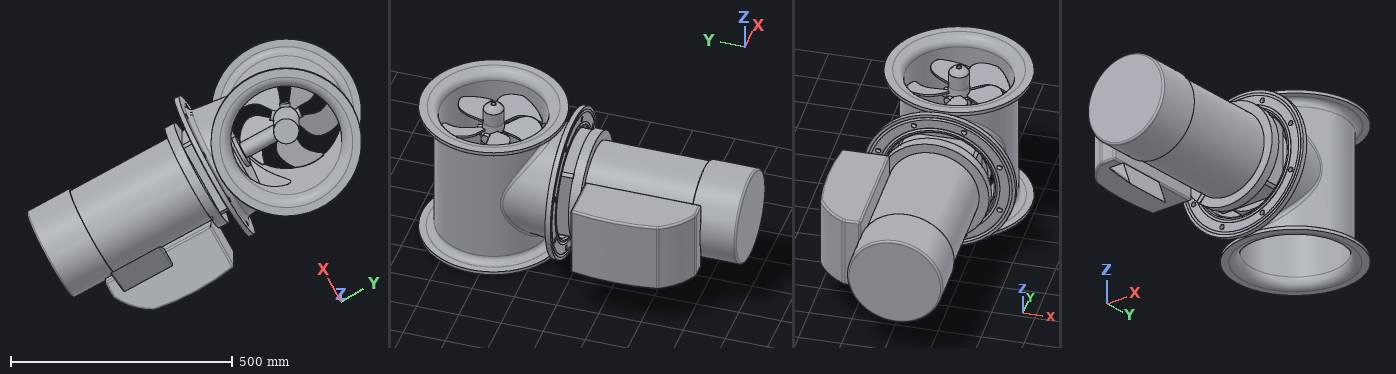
import cadquery as cq
import math


TUNNEL_OD = 270.0
TUNNEL_ID = 250.0
TUNNEL_HEIGHT = 351.0
END_FLANGE_OD = 339.5
END_FLANGE_THICKNESS = 8.5
OUTER_FLARE = 17.0
INNER_FLARE = 25.0

BRANCH_FLANGE_OD = 356.0
BRANCH_FLANGE_BACK = 178.0
BRANCH_FLANGE_FACE = 191.0
BRANCH_SLOPE = 0.13
BRANCH_FACE_RADIUS = 139.0
BORE_RADIUS = 128.0
BORE_CHAMFER = 4.0
BORE_STRAIGHT_END = 156.0
BRANCH_FLARE = 14.0
BRANCH_BLEND = 9.0
BRANCH_ROOT = 31.0
BOLT_COUNT = 8
BOLT_DIAMETER = 12.0
BOLT_CIRCLE_RADIUS = 153.0
SEAL_GROOVE_RADII = (138.5, 167.5)
SEAL_GROOVE_SECTION_RADIUS = 3.0

MOTOR_AXIS_Z = 4.3
MOUNT_WIDTH = 182.0
MOUNT_CORNER = 7.0
MOUNT_INNER_END = BORE_STRAIGHT_END
SPIGOT_DIAMETER = 212.0
SPIGOT_END = 120.0
MOTOR_FLANGE_OD = 258.0
MOTOR_FLANGE_BACK = 218.0
MOTOR_FLANGE_FACE = 242.0
DRAIN_GROOVE_DIAMETER = 11.0
DRAIN_GROOVE_ANGLE = 228
MOTOR_OD = 212.0
CAP_OD = 222.0
CAP_START = 498.0
CAP_EDGE = 5.0
OVERALL_LENGTH = 779.0
MOTOR_END = OVERALL_LENGTH - END_FLANGE_OD / 2

BOX_HEIGHT = 177.5
BOX_INNER_X = -100.5
BOX_BACK_Y = -250.0
BOX_FRONT_Y = -524.0
BOX_BULGE = (-220.0, -353.5)
BOX_SHOULDER = (-211.0, -455.5)
BOX_FOOT_X = -140.0
BOX_CORNER_MID = (-182.0, -494.5)
BOX_CORNER = 17.0
BOX_EDGE = 5.0

DUCT_START = 368.0
DUCT_END = 496.0
DUCT_TIP = (-78.0, -142.5)
DUCT_INNER_X = -97.0
DUCT_OUTER_X = -140.0
DUCT_EDGE = 3.0

LEG_FLANGE_DIAMETER = 73.0
LEG_FLANGE_END = 110.5
LEG_DIAMETER = 37.0
POD_DIAMETER = 58.0
POD_BOTTOM = -47.0

HUB_BOTTOM = 93.5
HUB_TOP = 134.0
NOSE_DIAMETER = 47.0
NOSE_TOP = 184.0
NOSE_SHOULDER = 169.0
NOSE_HOLE_DIAMETER = 11.0
NOSE_HOLE_DEPTH = 2.0
BLADE_COUNT = 5
BLADE_PLATE_SIZE = 467.0
BLADE_INNER_ROOT = (-8.0, 15.5)
BLADE_HOLLOW_EDGE = [(-18.0, 50.0), (-22.5, 72.0), (-16.0, 92.0), (-1.5, 112.0)]
BLADE_TIP_ROUND = [(-1.5, 116.0), (-6.0, 118.0)]
BLADE_OUTER_ARC = [(-40.5, 112.0), (-72.0, 95.0)]
BLADE_ROUND_EDGE = [(-79.5, 64.0), (-75.0, 40.5), (-61.5, 27.0), (-34.0, 18.0), (-12.0, 8.0)]
BLADE_THICKNESS = 5.0
BLADE_MID_Z = 114.5
BLADE_PITCH = 20
BLADE_AXIS_ANGLE = 113
ROOT_PIN_DIAMETER = 23.0
ROOT_PIN_ANGLE = 95
ROOT_PIN_Z = 103.0
ROOT_PIN_REACH = 36.0


def y_cylinder(diameter, start, end, axis_z=0.0):
    """Cylinder along -Y between two distances from the tunnel axis."""
    plane = cq.Plane(origin=(0, -start, axis_z), xDir=(1, 0, 0), normal=(0, -1, 0))
    return cq.Workplane(plane).circle(diameter / 2).extrude(end - start)


def trumpet(radius, flare, half_height):
    """Solid of revolution about Z, centred on the origin, that flares out at both ends."""
    straight_half = half_height - flare
    mid_radius = radius + flare * (1 - math.sqrt(0.5))
    mid_height = straight_half + flare * math.sqrt(0.5)
    return (
        cq.Workplane("XZ")
        .moveTo(0, -half_height)
        .lineTo(radius + flare, -half_height)
        .threePointArc((mid_radius, -mid_height), (radius, -straight_half))
        .lineTo(radius, straight_half)
        .threePointArc((mid_radius, mid_height), (radius + flare, half_height))
        .lineTo(0, half_height)
        .close()
        .revolve(360, (0, 0, 0), (0, 1, 0))
    )


def branch_cone():
    """Cone about -Y that narrows from the branch flange face towards the tunnel axis."""
    root_radius = BRANCH_FACE_RADIUS - BRANCH_SLOPE * (BRANCH_FLANGE_FACE - BRANCH_ROOT)
    return (
        cq.Workplane("XY")
        .moveTo(0, -BRANCH_ROOT)
        .lineTo(root_radius, -BRANCH_ROOT)
        .lineTo(BRANCH_FACE_RADIUS, -BRANCH_FLANGE_FACE)
        .lineTo(0, -BRANCH_FLANGE_FACE)
        .close()
        .revolve(360, (0, 0, 0), (0, 1, 0))
    )


def branch_bore():
    """Chamfered bore that runs straight from the flange face, then narrows like the cone around it."""
    root_radius = BORE_RADIUS - BRANCH_SLOPE * (BORE_STRAIGHT_END - BRANCH_ROOT)
    return (
        cq.Workplane("XY")
        .moveTo(0, -BRANCH_ROOT)
        .lineTo(root_radius, -BRANCH_ROOT)
        .lineTo(BORE_RADIUS, -BORE_STRAIGHT_END)
        .lineTo(BORE_RADIUS, -BRANCH_FLANGE_FACE + BORE_CHAMFER)
        .lineTo(BORE_RADIUS + BORE_CHAMFER, -BRANCH_FLANGE_FACE)
        .lineTo(0, -BRANCH_FLANGE_FACE)
        .close()
        .revolve(360, (0, 0, 0), (0, 1, 0))
    )


def seal_groove(radius):
    """Ring of round section that cuts a half-round groove in the branch flange face."""
    return (
        cq.Workplane("XY")
        .center(0, -BRANCH_FLANGE_FACE)
        .moveTo(radius, 0)
        .circle(SEAL_GROOVE_SECTION_RADIUS)
        .revolve(360, (0, 0, 0), (0, 1, 0))
    )


def branch_bolt_holes():
    plane = cq.Plane(origin=(0, -BRANCH_FLANGE_BACK, 0), xDir=(1, 0, 0), normal=(0, -1, 0))
    return (
        cq.Workplane(plane)
        .polarArray(BOLT_CIRCLE_RADIUS, 180 / BOLT_COUNT, 360, BOLT_COUNT)
        .circle(BOLT_DIAMETER / 2)
        .extrude(BRANCH_FLANGE_FACE - BRANCH_FLANGE_BACK)
    )


def branch_flare():
    """Curved collar between the cone and the back of the branch flange."""
    start = BRANCH_FLANGE_BACK - BRANCH_FLARE
    foot = BRANCH_FACE_RADIUS - BRANCH_SLOPE * (BRANCH_FLANGE_FACE - start)
    mid = (foot + BRANCH_FLARE * (1 - math.sqrt(0.5)), -start - BRANCH_FLARE * math.sqrt(0.5))
    return (
        cq.Workplane("XY")
        .moveTo(0, -start)
        .lineTo(foot, -start)
        .threePointArc(mid, (foot + BRANCH_FLARE, -BRANCH_FLANGE_BACK))
        .lineTo(0, -BRANCH_FLANGE_BACK)
        .close()
        .revolve(360, (0, 0, 0), (0, 1, 0))
    )


def make_tunnel():
    half_height = TUNNEL_HEIGHT / 2
    flange_back = half_height - END_FLANGE_THICKNESS
    outer_straight = flange_back - OUTER_FLARE

    tube_base = cq.Workplane("XY", origin=(0, 0, -outer_straight))
    shell = tube_base.circle(TUNNEL_OD / 2).extrude(2 * outer_straight).union(branch_cone())
    joint_zone = cq.selectors.BoxSelector(
        (-TUNNEL_OD, -BRANCH_FLANGE_BACK, -BRANCH_FACE_RADIUS),
        (TUNNEL_OD, -BRANCH_ROOT, BRANCH_FACE_RADIUS),
    )
    shell = shell.edges(joint_zone).fillet(BRANCH_BLEND)

    shell = shell.union(trumpet(TUNNEL_OD / 2, OUTER_FLARE, flange_back))
    for flange_bottom in (-half_height, flange_back):
        flange = cq.Workplane("XY", origin=(0, 0, flange_bottom)).circle(END_FLANGE_OD / 2)
        shell = shell.union(flange.extrude(END_FLANGE_THICKNESS))
    shell = shell.union(y_cylinder(BRANCH_FLANGE_OD, BRANCH_FLANGE_BACK, BRANCH_FLANGE_FACE))
    shell = shell.union(branch_flare())
    shell = shell.cut(trumpet(TUNNEL_ID / 2, INNER_FLARE, half_height))
    shell = shell.cut(branch_bore())
    for radius in SEAL_GROOVE_RADII:
        shell = shell.cut(seal_groove(radius))
    return shell.cut(branch_bolt_holes())


def make_motor():
    mount = (
        cq.Workplane("XY")
        .box(MOUNT_WIDTH, MOTOR_FLANGE_BACK - MOUNT_INNER_END, MOUNT_WIDTH)
        .edges("|Y")
        .chamfer(MOUNT_CORNER)
        .translate((0, -(MOTOR_FLANGE_BACK + MOUNT_INNER_END) / 2, MOTOR_AXIS_Z))
    )
    spigot = y_cylinder(SPIGOT_DIAMETER, SPIGOT_END, MOUNT_INNER_END, MOTOR_AXIS_Z)
    flange = y_cylinder(MOTOR_FLANGE_OD, MOTOR_FLANGE_BACK, MOTOR_FLANGE_FACE, MOTOR_AXIS_Z)
    flange = flange.cut(drain_groove())
    body = y_cylinder(MOTOR_OD, MOTOR_FLANGE_FACE, CAP_START, MOTOR_AXIS_Z)
    cap = y_cylinder(CAP_OD, CAP_START, MOTOR_END, MOTOR_AXIS_Z).faces("<Y").edges().fillet(CAP_EDGE)
    return mount.union(spigot).union(flange).union(body).union(cap)


def drain_groove():
    """Half-round radial groove in the motor flange face."""
    angle = math.radians(DRAIN_GROOVE_ANGLE)
    outward = (math.cos(angle), 0, math.sin(angle))
    plane = cq.Plane(origin=(0, -MOTOR_FLANGE_FACE, MOTOR_AXIS_Z), xDir=(0, 1, 0), normal=outward)
    return cq.Workplane(plane).circle(DRAIN_GROOVE_DIAMETER / 2).extrude(MOTOR_FLANGE_OD)


def make_terminal_box():
    box = (
        cq.Workplane("XY", origin=(0, 0, MOTOR_AXIS_Z - BOX_HEIGHT / 2))
        .moveTo(BOX_INNER_X, BOX_BACK_Y)
        .lineTo(BOX_SHOULDER[0], BOX_BACK_Y)
        .threePointArc(BOX_BULGE, BOX_SHOULDER)
        .threePointArc(BOX_CORNER_MID, (BOX_FOOT_X, BOX_FRONT_Y))
        .lineTo(BOX_INNER_X, BOX_FRONT_Y)
        .close()
        .extrude(BOX_HEIGHT)
    )
    for corner in (BOX_SHOULDER, (BOX_FOOT_X, BOX_FRONT_Y)):
        nearest = cq.selectors.NearestToPointSelector((*corner, MOTOR_AXIS_Z))
        box = box.edges("|Z").edges(nearest).fillet(BOX_CORNER)
    box = box.edges("|Z and (not >X)").edges(">Y").fillet(BOX_EDGE)
    box = box.edges("|Z and >X").edges("<Y").fillet(BOX_EDGE)
    return box.faces("|Z").edges("not >X").fillet(BOX_EDGE)


def make_cable_duct():
    """Wedge-shaped duct under the terminal box, rounded at the ends of its sloping outer face."""
    plane = cq.Plane(origin=(0, -DUCT_START, 0), xDir=(1, 0, 0), normal=(0, -1, 0))
    box_floor = MOTOR_AXIS_Z - BOX_HEIGHT / 2
    duct = (
        cq.Workplane(plane)
        .moveTo(*DUCT_TIP)
        .lineTo(DUCT_INNER_X, box_floor)
        .lineTo(DUCT_OUTER_X, box_floor)
        .close()
        .extrude(DUCT_END - DUCT_START)
    )
    outer_face = cq.selectors.DirectionMinMaxSelector(cq.Vector(1, 0, 1), False)
    return duct.faces(outer_face).edges("not |Y").fillet(DUCT_EDGE)


def make_gear_leg():
    leg_flange = y_cylinder(LEG_FLANGE_DIAMETER, LEG_FLANGE_END, SPIGOT_END)
    leg = y_cylinder(LEG_DIAMETER, 0, LEG_FLANGE_END)
    pod = (
        cq.Workplane("XY", origin=(0, 0, POD_BOTTOM))
        .circle(POD_DIAMETER / 2)
        .extrude(HUB_BOTTOM - POD_BOTTOM)
    )
    return leg_flange.union(leg).union(pod)


def make_hub():
    """Tapered hub under a round nose with a domed top."""
    nose_radius = NOSE_DIAMETER / 2
    dome_height = NOSE_TOP - NOSE_SHOULDER
    dome_radius = (nose_radius**2 + dome_height**2) / (2 * dome_height)
    mid_radius = nose_radius / 2
    mid_height = NOSE_TOP - dome_radius + math.sqrt(dome_radius**2 - mid_radius**2)
    hub = (
        cq.Workplane("XZ")
        .moveTo(0, HUB_BOTTOM)
        .lineTo(POD_DIAMETER / 2, HUB_BOTTOM)
        .lineTo(nose_radius, HUB_TOP)
        .lineTo(nose_radius, NOSE_SHOULDER)
        .threePointArc((mid_radius, mid_height), (0, NOSE_TOP))
        .close()
        .revolve(360, (0, 0, 0), (0, 1, 0))
    )
    hole = (
        cq.Workplane("XY", origin=(0, 0, NOSE_TOP - NOSE_HOLE_DEPTH))
        .circle(NOSE_HOLE_DIAMETER / 2)
        .extrude(NOSE_HOLE_DEPTH)
    )
    return hub.cut(hole)


def make_blade():
    """Sickle-shaped flat blade: its plan outline cut from a tilted plate, with a round root pin."""
    outline = (
        cq.Workplane("XY")
        .moveTo(*BLADE_INNER_ROOT)
        .spline(BLADE_HOLLOW_EDGE, includeCurrent=True)
        .threePointArc(*BLADE_TIP_ROUND)
        .threePointArc(*BLADE_OUTER_ARC)
        .spline(BLADE_ROUND_EDGE, includeCurrent=True)
        .close()
        .extrude(2 * BLADE_MID_Z)
    )
    plate = (
        cq.Workplane("XY")
        .box(BLADE_PLATE_SIZE, BLADE_PLATE_SIZE, BLADE_THICKNESS)
        .rotate((0, 0, 0), (1, 0, 0), BLADE_PITCH)
        .rotate((0, 0, 0), (0, 0, 1), BLADE_AXIS_ANGLE)
        .translate((0, 0, BLADE_MID_Z))
    )
    angle = math.radians(ROOT_PIN_ANGLE)
    outward = (math.cos(angle), math.sin(angle), 0)
    pin_plane = cq.Plane(origin=(0, 0, ROOT_PIN_Z), xDir=(0, 0, 1), normal=outward)
    pin = cq.Workplane(pin_plane).circle(ROOT_PIN_DIAMETER / 2).extrude(ROOT_PIN_REACH)
    return outline.intersect(plate).union(pin)


def make_propeller():
    blade = make_blade()
    propeller = make_hub()
    for index in range(BLADE_COUNT):
        propeller = propeller.union(blade.rotate((0, 0, 0), (0, 0, 1), index * 360 / BLADE_COUNT))
    return propeller


def make_drive():
    drive = make_motor().union(make_terminal_box()).union(make_cable_duct())
    return drive.union(make_gear_leg()).union(make_propeller())


tunnel = make_tunnel()
drive = make_drive()
result = cq.Compound.makeCompound([tunnel.val(), drive.val()])